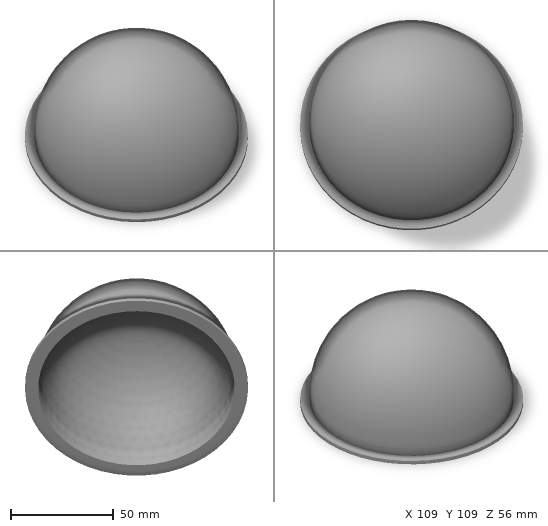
import cadquery as cq

flange_diameter = 109.0
dome_diameter = 100.0
bore_diameter = 96.0
flange_thickness = 2.0
collar_height = 4.0

dome_radius = dome_diameter / 2
bore_radius = bore_diameter / 2
spring_height = flange_thickness + collar_height


def domed_cylinder(radius):
    """Upright cylinder from the base plane, capped by a hemisphere."""
    profile = (
        cq.Workplane("XZ")
        .lineTo(radius, 0)
        .lineTo(radius, spring_height)
        .radiusArc((0, spring_height + radius), -radius)
        .close()
    )
    return profile.revolve(360, (0, 0, 0), (0, 1, 0))


flange = cq.Workplane("XY").circle(flange_diameter / 2).extrude(flange_thickness)

result = flange.union(domed_cylinder(dome_radius)).cut(domed_cylinder(bore_radius))